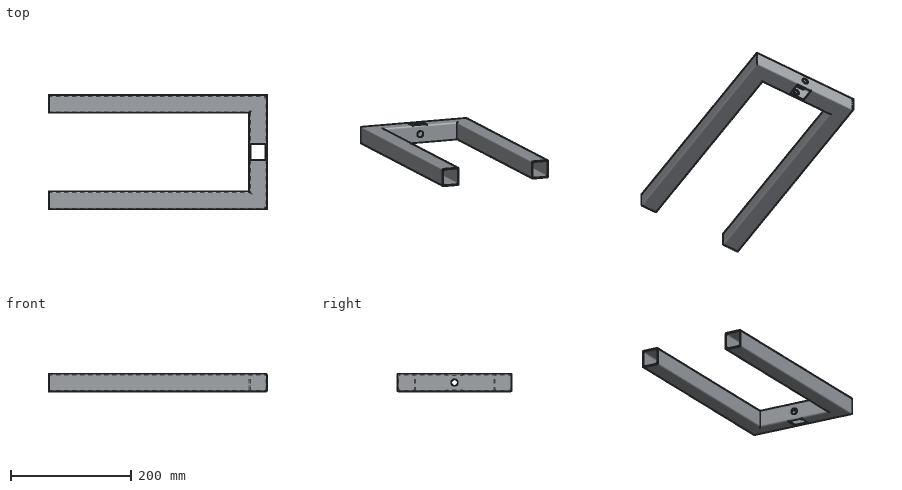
import cadquery as cq

frame_length = 362.0
frame_width = 190.0

tube_size = 30.0
wall = 2.0
outer_radius = 3.0
inner_radius = 3.0

window_length = 26.0
window_width = tube_size - 2 * outer_radius
bolt_hole_diameter = 10.5

open_end_x = -frame_length / 2
cross_bar_x = frame_length / 2 - tube_size / 2
leg_y = frame_width / 2 - tube_size / 2


def square_bar(size, corner_radius):
    """Sweep a rounded square along the U-shaped centreline with mitred corners."""
    centreline = (
        cq.Workplane("XY")
        .moveTo(open_end_x, -leg_y)
        .lineTo(cross_bar_x, -leg_y)
        .lineTo(cross_bar_x, leg_y)
        .lineTo(open_end_x, leg_y)
    )
    section = cq.Sketch().rect(size, size).vertices().fillet(corner_radius)
    return (
        cq.Workplane("YZ", origin=(open_end_x, -leg_y, 0))
        .placeSketch(section)
        .sweep(centreline, transition="right")
    )


def mitred_tube():
    """Hollow U-shaped frame, open at both leg ends."""
    outside = square_bar(tube_size, outer_radius)
    cavity = square_bar(tube_size - 2 * wall, inner_radius)
    return outside.cut(cavity)


def window():
    """Rectangular opening through the top and bottom walls of the cross bar."""
    return cq.Workplane("XY").box(window_width, window_length, tube_size).translate((cross_bar_x, 0, 0))


def bolt_hole():
    """Round hole along X through both upright walls of the cross bar."""
    return (
        cq.Workplane("YZ", origin=(cross_bar_x, 0, 0))
        .circle(bolt_hole_diameter / 2)
        .extrude(tube_size / 2, both=True)
    )


result = mitred_tube().cut(window()).cut(bolt_hole())